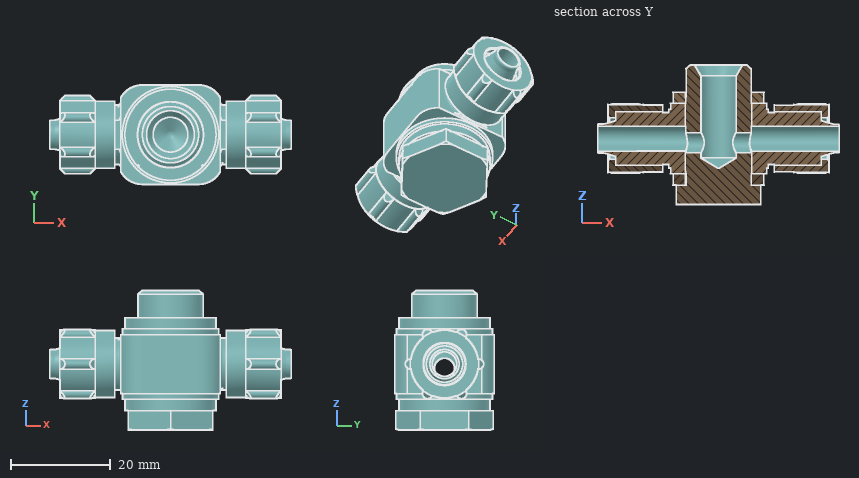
import cadquery as cq
import math

overall_length = 48.6

block_width = 20.0
block_height = 11.85
block_corner_radius = 5.0
block_corner_length = 21.3
collar_diameter = 19.4
collar_height = 1.15
neck_diameter = 12.0
neck_end = 11.2
neck_fillet = 0.5
neck_across_flats = 10.5
thread_diameter = 10.95
thread_end = 20.65
barb_root_diameter = 7.3
barb_tip_diameter = 5.9
barb_cone_end = 23.2
barb_tip_fillet = 0.35
barb_bore_diameter = 4.9

ring_diameter = 18.3
ring_bore_diameter = 13.3
ring_height = 2.25

bolt_diameter = 13.15
bolt_height = 28.1
bolt_tip_diameter = 11.3
bolt_tip_chamfer_height = 0.8
hex_across_flats = 17.0
hex_height = 3.95
hex_chamfer_diameter = 18.3
hex_chamfer_height = 0.25
bolt_bore_diameter = 7.0
bolt_countersink_diameter = 9.6
bolt_countersink_depth = 2.25
bolt_bore_bottom = -3.9
drill_point_angle = 118
cross_hole_diameter = 4.0
cross_hole_level = -0.85

nut_diameter = 13.5
nut_outer_face = 22.2
nut_mouth_diameter = 8.3
nut_mouth_outer_diameter = 8.65
nut_mouth_taper_depth = 0.35
grip_diameter = 13.7
grip_length = 7.05
rib_count = 6
rib_diameter = 2.05
rib_radius = rib_diameter / 2
rib_circle_radius = 6.85

block_top = block_height / 2
collar_top = block_top + collar_height
ring_top = collar_top + ring_height
hex_bottom = -ring_top - hex_height
bolt_top = hex_bottom + bolt_height


def disc(diameter, bottom, top):
    """Cylinder about the Z axis between two levels."""
    return cq.Workplane("XY").workplane(offset=bottom).circle(diameter / 2).extrude(top - bottom)


def rod(diameter, start, end):
    """Cylinder about the X axis between two distances from the bolt axis."""
    return cq.Workplane("YZ").workplane(offset=start).circle(diameter / 2).extrude(end - start)


def both_sides(body):
    """A body on the +X side followed by its half-turn copy on the -X side."""
    return [body.rotate((0, 0, 0), (0, 0, 1), angle) for angle in (0, 180)]


def make_block():
    """Square block with large corner arcs that meet the end faces at an edge."""
    rounded = (
        cq.Workplane("XY")
        .box(block_corner_length, block_width, block_height)
        .edges("|Z")
        .fillet(block_corner_radius)
    )
    return rounded.intersect(cq.Workplane("XY").box(block_width, block_width, block_height))


def make_neck():
    """Round neck with a filleted root and two wrench flats, facing up and down."""
    start = block_width / 2
    radius = neck_diameter / 2
    profile = (
        cq.Workplane("XY")
        .moveTo(0, 0)
        .lineTo(0, radius + neck_fillet)
        .lineTo(start, radius + neck_fillet)
        .radiusArc((start + neck_fillet, radius), -neck_fillet)
        .lineTo(neck_end, radius)
        .lineTo(neck_end, 0)
        .close()
    )
    neck = profile.revolve(360, (0, 0, 0), (1, 0, 0))
    return neck.intersect(cq.Workplane("XY").box(overall_length, block_width, neck_across_flats))


def make_barb():
    """Conical hose barb with a short cylindrical, rounded tip."""
    tip = overall_length / 2
    profile = (
        cq.Workplane("XY")
        .moveTo(thread_end, 0)
        .lineTo(thread_end, barb_root_diameter / 2)
        .lineTo(barb_cone_end, barb_tip_diameter / 2)
        .lineTo(tip, barb_tip_diameter / 2)
        .lineTo(tip, 0)
        .close()
    )
    barb = profile.revolve(360, (0, 0, 0), (1, 0, 0))
    return barb.faces(">X").edges().fillet(barb_tip_fillet)


def make_housing():
    """Block with a collar above and below, two barbed arms, and bores along both axes."""
    housing = make_block().union(disc(collar_diameter, -collar_top, collar_top))
    arm = make_neck().union(rod(thread_diameter, neck_end, thread_end)).union(make_barb())
    for side_arm in both_sides(arm):
        housing = housing.union(side_arm)
    housing = housing.cut(rod(barb_bore_diameter, -overall_length / 2, overall_length / 2))
    return housing.cut(disc(bolt_diameter, -collar_top, collar_top))


def make_ring(bottom):
    """Flat sealing ring standing on the given level."""
    return disc(ring_diameter, bottom, bottom + ring_height).cut(
        disc(ring_bore_diameter, bottom, bottom + ring_height)
    )


def make_hex_head():
    """Hexagon with flats facing +X and -X and its lower corners chamfered."""
    corner_radius = hex_across_flats / math.sqrt(3)
    head = (
        cq.Workplane("XY")
        .workplane(offset=hex_bottom)
        .polygon(6, 2 * corner_radius)
        .extrude(hex_height)
        .rotate((0, 0, 0), (0, 0, 1), 30)
    )
    chamfer_envelope = (
        cq.Workplane("XZ")
        .moveTo(0, hex_bottom)
        .lineTo(hex_chamfer_diameter / 2, hex_bottom)
        .lineTo(corner_radius, hex_bottom + hex_chamfer_height)
        .lineTo(corner_radius, -ring_top)
        .lineTo(0, -ring_top)
        .close()
        .revolve(360, (0, 0, 0), (0, 1, 0))
    )
    return head.intersect(chamfer_envelope)


def make_bolt():
    """Hollow bolt with a blind, countersunk bore and a cross hole into it."""
    shank = (
        cq.Workplane("XZ")
        .moveTo(0, -ring_top)
        .lineTo(bolt_diameter / 2, -ring_top)
        .lineTo(bolt_diameter / 2, bolt_top - bolt_tip_chamfer_height)
        .lineTo(bolt_tip_diameter / 2, bolt_top)
        .lineTo(0, bolt_top)
        .close()
        .revolve(360, (0, 0, 0), (0, 1, 0))
    )
    bore_radius = bolt_bore_diameter / 2
    drill_point_depth = bore_radius / math.tan(math.radians(drill_point_angle / 2))
    bore = (
        cq.Workplane("XZ")
        .moveTo(0, bolt_bore_bottom - drill_point_depth)
        .lineTo(bore_radius, bolt_bore_bottom)
        .lineTo(bore_radius, bolt_top - bolt_countersink_depth)
        .lineTo(bolt_countersink_diameter / 2, bolt_top)
        .lineTo(0, bolt_top)
        .close()
        .revolve(360, (0, 0, 0), (0, 1, 0))
    )
    cross_hole = rod(cross_hole_diameter, -bolt_diameter, bolt_diameter).translate((0, 0, cross_hole_level))
    return make_hex_head().union(shank).cut(bore).cut(cross_hole)


def make_grip_rib():
    """Half-round grip rib on the +Y side, with both ends cut at 45 degrees."""
    grip_start = nut_outer_face - grip_length
    rib_top = rib_circle_radius + rib_radius
    rib_foot = grip_diameter / 2
    end_chamfer = rib_top - rib_foot
    rib = rod(rib_diameter, grip_start, nut_outer_face).translate((0, rib_circle_radius, 0))
    side_shape = (
        cq.Workplane("XY")
        .workplane(offset=-rib_radius)
        .moveTo(grip_start, rib_foot - rib_radius)
        .lineTo(grip_start, rib_foot)
        .lineTo(grip_start + end_chamfer, rib_top)
        .lineTo(nut_outer_face - end_chamfer, rib_top)
        .lineTo(nut_outer_face, rib_foot)
        .lineTo(nut_outer_face, rib_foot - rib_radius)
        .close()
        .extrude(rib_diameter)
    )
    return rib.intersect(side_shape)


def make_nut():
    """Revolved nut, stepped outside and inside, with grip ribs around its outer end."""
    grip_start = nut_outer_face - grip_length
    mouth_radius = nut_mouth_diameter / 2
    profile = (
        cq.Workplane("XY")
        .moveTo(neck_end, thread_diameter / 2)
        .lineTo(neck_end, nut_diameter / 2)
        .lineTo(grip_start, nut_diameter / 2)
        .lineTo(grip_start, grip_diameter / 2)
        .lineTo(nut_outer_face, grip_diameter / 2)
        .lineTo(nut_outer_face, nut_mouth_outer_diameter / 2)
        .lineTo(nut_outer_face - nut_mouth_taper_depth, mouth_radius)
        .lineTo(thread_end, mouth_radius)
        .lineTo(thread_end, thread_diameter / 2)
        .close()
    )
    nut = profile.revolve(360, (0, 0, 0), (1, 0, 0))
    rib = make_grip_rib()
    for index in range(rib_count):
        nut = nut.union(rib.rotate((0, 0, 0), (1, 0, 0), index * 360 / rib_count))
    return nut


housing = make_housing()
bolt = make_bolt()
rings = [make_ring(bottom) for bottom in (-ring_top, collar_top)]
nuts = both_sides(make_nut())

result = cq.Compound.makeCompound(
    [housing.val(), bolt.val()] + [ring.val() for ring in rings] + [nut.val() for nut in nuts]
)